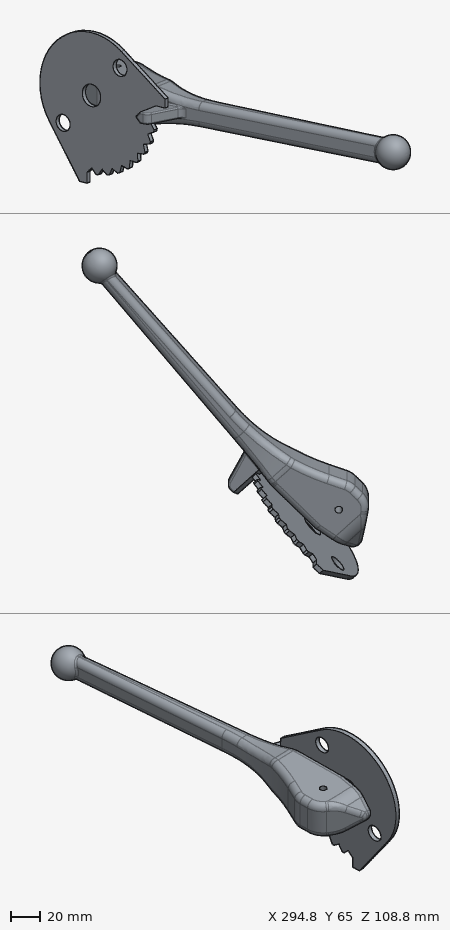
import cadquery as cq
import math


PLATE_THICKNESS = 3.5
PLATE_GAP = 2.7
PLATE_RADIUS = 45.0
SYMMETRY_ANGLE = -45.0
PLATE_REACH = 63.83
PLATE_CORNER_OFFSET = 10.4
PIVOT_HOLE_DIAMETER = 16.0
MOUNT_HOLE_DIAMETER = 12.0
MOUNT_HOLE_RADIUS = 35.0
MOUNT_HOLE_ANGLES = (45, 225)
NOTCH_ROOT_RADIUS = 52.0
NOTCH_DEPTH = 4.0
TOOTH_TIP_RADIUS = NOTCH_ROOT_RADIUS + NOTCH_DEPTH
NOTCH_COUNT = 10
NOTCH_PITCH_DEG = 90.0 / (NOTCH_COUNT - 1)

BODY_HEIGHT = 41.0
NOSE_POINT = (-36.4, 6.9)
CREST_REAR_X = -11.0
CREST_FRONT_X = 7.1
HANDLE_TOP_START = (58.1, 16.0)
UNDERSIDE_KNEE_X = 43.3
HANDLE_END_TOP_Y = 28.95
HANDLE_END_BOTTOM_Y = 18.65

BODY_HALF_WIDTH = 13.9
HANDLE_HALF_WIDTH = 9.0
NOSE_APEX_X = -34.2
NOSE_SHOULDER_X = -18.1
BODY_STRAIGHT_END_X = 44.7

BLEND_RADIUS = 15.0
NECK_RADIUS = 150.0
EDGE_RADIUS = 5.0
CROSS_HOLE_DIAMETER = 5.0
CROSS_HOLE_Y = 22.0

BALL_RADIUS = 12.0
BALL_X = 237.83
BALL_Y = 24.5
BALL_FILLET = 2.0

PAWL_HALF_WIDTH = NOTCH_DEPTH
PAWL_EDGE_RADIUS = 1.0
PAWL_END_Y = -24.0
PAWL_END_X = 62.3
PAWL_ROOT_X = 71.4
PAWL_ROOT_DEPTH = 8.0
PAWL_RUNOUT_X = 80.0
UNDERSIDE_SLOPE = HANDLE_END_BOTTOM_Y / (BALL_X - UNDERSIDE_KNEE_X)
PAWL_ROOT_Y = UNDERSIDE_SLOPE * (PAWL_ROOT_X - UNDERSIDE_KNEE_X)
PAWL_RUNOUT_Y = UNDERSIDE_SLOPE * (PAWL_RUNOUT_X - UNDERSIDE_KNEE_X)

COINCIDENT = 1e-4


def polar(radius, angle_deg):
    angle = math.radians(angle_deg)
    return (radius * math.cos(angle), radius * math.sin(angle))


def rounded_outline(plane, corners):
    """Close a polygon given as (point, corner radius) pairs, rounding each corner by its radius."""
    outline = cq.Workplane(plane)
    position = None
    for index, (point, radius) in enumerate(corners):
        corner = cq.Vector(*point)
        to_previous = (cq.Vector(*corners[index - 1][0]) - corner).normalized()
        to_next = (cq.Vector(*corners[(index + 1) % len(corners)][0]) - corner).normalized()
        half_angle = to_previous.getAngle(to_next) / 2
        setback = radius / math.tan(half_angle)
        entry = corner + to_previous * setback
        if position is None:
            outline = outline.moveTo(entry.x, entry.y)
        elif (entry - position).Length > COINCIDENT:
            outline = outline.lineTo(entry.x, entry.y)
        position = entry
        if radius > 0:
            position = corner + to_next * setback
            bisector = (to_previous + to_next).normalized()
            middle = corner + bisector * (radius / math.sin(half_angle) - radius)
            outline = outline.threePointArc((middle.x, middle.y), (position.x, position.y))
    return outline.close()


def lever():
    """Lever body and handle: side profile and plan outline intersected, long edges rounded."""
    profile = rounded_outline("XY", [
        (NOSE_POINT, 0),
        ((CREST_REAR_X, BODY_HEIGHT), BLEND_RADIUS),
        ((CREST_FRONT_X, BODY_HEIGHT), BLEND_RADIUS),
        (HANDLE_TOP_START, NECK_RADIUS),
        ((BALL_X, HANDLE_END_TOP_Y), 0),
        ((BALL_X, HANDLE_END_BOTTOM_Y), 0),
        ((UNDERSIDE_KNEE_X, 0), BLEND_RADIUS),
        ((0, 0), 0),
    ]).extrude(BODY_HALF_WIDTH * 2, both=True)

    radius_sum = BLEND_RADIUS + NECK_RADIUS
    turn = math.acos((radius_sum - BODY_HALF_WIDTH + HANDLE_HALF_WIDTH) / radius_sum)
    shoulder_x = BODY_STRAIGHT_END_X + BLEND_RADIUS * math.tan(turn / 2)
    neck_end_x = BODY_STRAIGHT_END_X + radius_sum * math.sin(turn)
    neck_x = neck_end_x - NECK_RADIUS * math.tan(turn / 2)
    upper_side = [
        ((NOSE_SHOULDER_X, BODY_HALF_WIDTH), BLEND_RADIUS),
        ((shoulder_x, BODY_HALF_WIDTH), BLEND_RADIUS),
        ((neck_x, HANDLE_HALF_WIDTH), NECK_RADIUS),
        ((BALL_X, HANDLE_HALF_WIDTH), 0),
    ]
    lower_side = [((x, -z), radius) for (x, z), radius in reversed(upper_side)]
    nose = [((NOSE_APEX_X, 0), EDGE_RADIUS)]
    plan = rounded_outline("XZ", nose + upper_side + lower_side).extrude(-BODY_HEIGHT * 2)
    plan = plan.translate((0, -BODY_HEIGHT / 2, 0))

    body = profile.intersect(plan).edges("not(|Y or |Z)").fillet(EDGE_RADIUS)
    cross_hole = cq.Workplane("XY").center(0, CROSS_HOLE_Y).circle(CROSS_HOLE_DIAMETER / 2)
    return body.cut(cross_hole.extrude(BODY_HALF_WIDTH * 2, both=True))


def add_ball_grip(body):
    """Join the ball to the handle end and fillet the joint between them."""
    ball = cq.Workplane("XY").sphere(BALL_RADIUS).translate((BALL_X, BALL_Y, 0))
    joint_zone = cq.selectors.BoxSelector(
        (BALL_X - BALL_RADIUS, BALL_Y - BALL_RADIUS, -BALL_RADIUS),
        (BALL_X - BALL_RADIUS / 2, BALL_Y + BALL_RADIUS, BALL_RADIUS),
    )
    return body.union(ball).edges(joint_zone).fillet(BALL_FILLET)


def pawl():
    """Pointed pawl with a sloped back, seated in the plate's notch on the +X axis."""
    side = rounded_outline("XY", [
        ((NOTCH_ROOT_RADIUS, PAWL_ROOT_DEPTH), 0),
        ((NOTCH_ROOT_RADIUS, PAWL_END_Y), 0),
        ((PAWL_END_X, PAWL_END_Y), EDGE_RADIUS),
        ((PAWL_ROOT_X, PAWL_ROOT_Y), EDGE_RADIUS),
        ((PAWL_RUNOUT_X, PAWL_RUNOUT_Y), 0),
        ((PAWL_RUNOUT_X, PAWL_ROOT_DEPTH), 0),
    ]).extrude(PAWL_HALF_WIDTH, both=True)
    tip_shape = [
        (NOTCH_ROOT_RADIUS, 0),
        (TOOTH_TIP_RADIUS, PAWL_HALF_WIDTH),
        (PAWL_RUNOUT_X, PAWL_HALF_WIDTH),
        (PAWL_RUNOUT_X, -PAWL_HALF_WIDTH),
        (TOOTH_TIP_RADIUS, -PAWL_HALF_WIDTH),
    ]
    tip = cq.Workplane("XZ").polyline(tip_shape).close().extrude(BODY_HEIGHT, both=True)
    return side.intersect(tip).faces("<Y").edges().fillet(PAWL_EDGE_RADIUS)


def plate():
    """Sector plate, symmetric about the SYMMETRY_ANGLE line, with V notches around its rim."""
    corner_angle = math.degrees(math.atan2(PLATE_CORNER_OFFSET, PLATE_REACH))
    corner_radius = math.hypot(PLATE_REACH, PLATE_CORNER_OFFSET)
    tangent_angle = corner_angle + math.degrees(math.acos(PLATE_RADIUS / corner_radius))
    lower_tangent = polar(PLATE_RADIUS, 2 * SYMMETRY_ANGLE - tangent_angle)
    outline = (
        cq.Workplane("XZ")
        .moveTo(PLATE_REACH, NOTCH_DEPTH)
        .lineTo(PLATE_REACH, PLATE_CORNER_OFFSET)
        .lineTo(*polar(PLATE_RADIUS, tangent_angle))
        .threePointArc(polar(PLATE_RADIUS, SYMMETRY_ANGLE + 180), lower_tangent)
        .lineTo(-PLATE_CORNER_OFFSET, -PLATE_REACH)
        .lineTo(-NOTCH_DEPTH, -PLATE_REACH)
        .lineTo(-NOTCH_DEPTH, -TOOTH_TIP_RADIUS)
        .threePointArc(polar(TOOTH_TIP_RADIUS, SYMMETRY_ANGLE), (TOOTH_TIP_RADIUS, NOTCH_DEPTH))
        .close()
    )
    blank = outline.extrude(PLATE_THICKNESS)
    notch_shape = [
        (NOTCH_ROOT_RADIUS, 0),
        (TOOTH_TIP_RADIUS, NOTCH_DEPTH),
        (TOOTH_TIP_RADIUS + NOTCH_DEPTH, NOTCH_DEPTH),
        (TOOTH_TIP_RADIUS + NOTCH_DEPTH, -NOTCH_DEPTH),
        (TOOTH_TIP_RADIUS, -NOTCH_DEPTH),
    ]
    notch = cq.Workplane("XZ").polyline(notch_shape).close().extrude(PLATE_THICKNESS)
    for index in range(NOTCH_COUNT):
        blank = blank.cut(notch.rotate((0, 0, 0), (0, 1, 0), index * NOTCH_PITCH_DEG))

    pivot_hole = cq.Workplane("XZ").circle(PIVOT_HOLE_DIAMETER / 2).extrude(PLATE_THICKNESS)
    mount_points = [polar(MOUNT_HOLE_RADIUS, angle) for angle in MOUNT_HOLE_ANGLES]
    mount_holes = cq.Workplane("XZ").pushPoints(mount_points).circle(MOUNT_HOLE_DIAMETER / 2)
    blank = blank.cut(pivot_hole).cut(mount_holes.extrude(PLATE_THICKNESS))
    return blank.translate((0, -PLATE_GAP, 0))


def add_pawl(body):
    """Join the pawl and round the sharp inner corners where its tip and sides meet the body."""
    root_zone = cq.selectors.BoxSelector(
        (NOTCH_ROOT_RADIUS - PAWL_EDGE_RADIUS, -PAWL_EDGE_RADIUS, -PAWL_HALF_WIDTH - PAWL_EDGE_RADIUS),
        (PAWL_ROOT_X, PAWL_ROOT_Y, PAWL_HALF_WIDTH + PAWL_EDGE_RADIUS),
    )
    return body.union(pawl()).edges(root_zone).fillet(PAWL_EDGE_RADIUS)


hand_lever = add_ball_grip(lever())
result = add_pawl(hand_lever).union(plate())